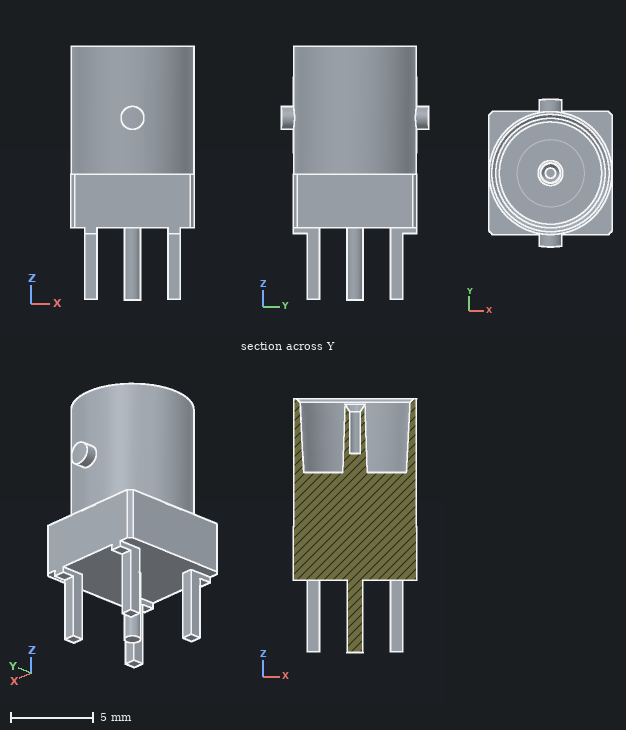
import cadquery as cq


base_side = 7.54
base_height = 3.25
corner_chamfer = 0.25

barrel_radius = 3.75
barrel_length = 7.83
rim_z = base_height + barrel_length
mouth_chamfer_radius = 3.58
mouth_radius = 3.34
mouth_chamfer_depth = mouth_chamfer_radius - mouth_radius
bore_floor_radius = 3.12
bore_depth = 4.5
floor_z = rim_z - bore_depth

insulator_radius = 2.05
insulator_thickness = 2.0

contact_base_radius = 0.76
contact_tip_radius = 0.62
contact_tip_z = rim_z - 0.35
funnel_radius = 0.59
contact_hole_radius = 0.31
funnel_depth = 0.46
contact_hole_depth = 3.0

lug_diameter = 1.4
lug_reach = 4.51
lug_z = rim_z - 4.38

leg_side = 0.76
leg_offset = 2.54
leg_length = 4.36
shoulder_height = 0.36
pin_diameter = 1.0
pin_length = 4.41


def revolve_profile(points):
    """Revolve a closed (radius, z) outline about the Z axis."""
    return cq.Workplane("XZ").polyline(points).close().revolve(360, (0, 0), (0, 1))


def make_base():
    block = cq.Workplane("XY").rect(base_side, base_side).extrude(base_height)
    return block.edges("|Z").chamfer(corner_chamfer)


def make_barrel():
    return cq.Workplane("XY").workplane(offset=base_height).circle(barrel_radius).extrude(barrel_length)


def make_lugs():
    """Round bar through the barrel, its ends rounded concentrically with the barrel."""
    bar = cq.Workplane("XZ").center(0, lug_z).circle(lug_diameter / 2).extrude(lug_reach, both=True)
    envelope = cq.Workplane("XY").circle(lug_reach).extrude(rim_z)
    return bar.intersect(envelope)


def make_bore():
    """Tapered bore with a chamfered mouth."""
    return revolve_profile([
        (0, floor_z),
        (bore_floor_radius, floor_z),
        (mouth_radius, rim_z - mouth_chamfer_depth),
        (mouth_chamfer_radius, rim_z),
        (0, rim_z),
    ])


def make_insulator():
    disc = cq.Workplane("XY").workplane(offset=floor_z).circle(insulator_radius)
    return disc.extrude(-insulator_thickness)


def make_contact():
    """Tapered socket with a funnel leading into a blind hole."""
    hole_bottom_z = contact_tip_z - contact_hole_depth
    return revolve_profile([
        (0, floor_z),
        (contact_base_radius, floor_z),
        (contact_tip_radius, contact_tip_z),
        (funnel_radius, contact_tip_z),
        (contact_hole_radius, contact_tip_z - funnel_depth),
        (contact_hole_radius, hole_bottom_z),
        (0, hole_bottom_z),
    ])


def make_legs():
    """Four square legs, each with a shoulder reaching out to the base side face."""
    shoulder_width = base_side / 2 - leg_offset
    legs = cq.Workplane("XY")
    for x_side in (-1, 1):
        for y_side in (-1, 1):
            x = x_side * leg_offset
            y = y_side * leg_offset
            leg = cq.Workplane("XY").center(x, y).rect(leg_side, leg_side).extrude(-leg_length)
            shoulder = (
                cq.Workplane("XY")
                .center(x, y + y_side * shoulder_width / 2)
                .rect(leg_side, shoulder_width)
                .extrude(-shoulder_height)
            )
            legs = legs.add(leg.union(shoulder))
    return legs.combine()


def make_pin():
    return cq.Workplane("XY").circle(pin_diameter / 2).extrude(-pin_length)


shell = make_base().union(make_barrel()).union(make_lugs()).cut(make_bore())
body = shell.union(make_legs()).union(make_pin()).union(make_contact())

result = body.union(make_insulator(), clean=False)